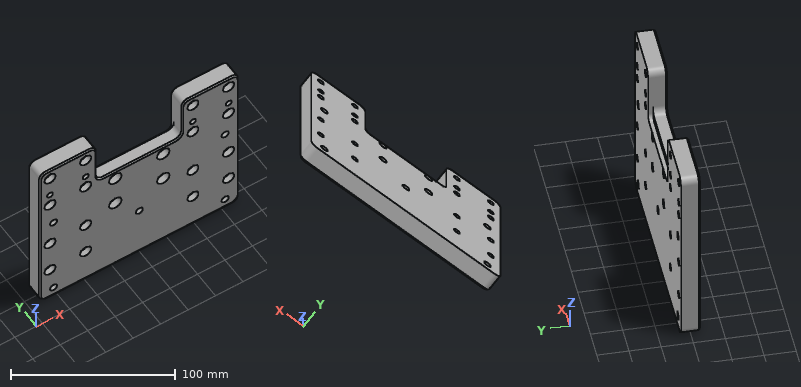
import cadquery as cq

width = 145.0
thickness = 12.0
height = 125.0
corner_radius = 5.1
front_chamfer = 1.0

slot_width = 62.0
slot_depth = 34.0

step_thickness = 3.0
step_drop = 4.0
step_corner_radius = 4.0

mount_diameter = 4.5
mount_bore_diameter = 8.0
mount_bore_depth = 4.5
mount_pitch = 26.0
mount_group_x = 52.0
upper_mount_z = 41.5
lower_mount_z = -22.5

center_diameter = 5.5
center_bore_diameter = 9.0
center_bore_depth = 5.2
center_pitch_x = 35.0
center_pitch_z = 24.0
center_group_z = 9.4

pin_diameter = 4.2
pin_z = 38.4
plain_diameter = 5.1
plain_x = 62.5
plain_upper_z = 9.4
plain_lower_z = -54.5
middle_z = lower_mount_z

front_y = -thickness / 2
back_y = thickness / 2
slot_floor_z = height / 2 - slot_depth


def cylinders(points, diameter, depth):
    """Cylinders that start at the front face and run toward +Y."""
    front_plane = cq.Workplane("XZ", origin=(0, front_y, 0))
    return front_plane.pushPoints(points).circle(diameter / 2).extrude(-depth)


def grid(center_x, center_z, pitch_x, pitch_z):
    """Corners of a rectangle, as (x, z) points."""
    return [
        (center_x + side_x * pitch_x / 2, center_z + side_z * pitch_z / 2)
        for side_x in (-1, 1)
        for side_z in (-1, 1)
    ]


def make_plate():
    """Slotted plate with rounded corners and a chamfered front rim."""
    half_width = width / 2
    half_height = height / 2
    half_slot = slot_width / 2
    outline = [
        (-half_width, -half_height),
        (half_width, -half_height),
        (half_width, half_height),
        (half_slot, half_height),
        (half_slot, slot_floor_z),
        (-half_slot, slot_floor_z),
        (-half_slot, half_height),
        (-half_width, half_height),
    ]
    plate = cq.Workplane("XZ", origin=(0, back_y, 0)).polyline(outline).close().extrude(thickness)
    plate = plate.edges("|Y").fillet(corner_radius)
    return plate.faces("<Y").chamfer(front_chamfer)


def make_step():
    """Cutter that lowers the slot floor along the back face, with rounded lower corners."""
    cutter_height = step_drop + corner_radius
    cutter_bottom_z = slot_floor_z - step_drop
    cutter = cq.Workplane("XY").box(
        slot_width, step_thickness, cutter_height, centered=(True, False, False)
    )
    cutter = cutter.edges("|Y and <Z").fillet(step_corner_radius)
    return cutter.translate((0, back_y - step_thickness, cutter_bottom_z))


mount_points = []
for group_x in (-mount_group_x, mount_group_x):
    for group_z in (upper_mount_z, lower_mount_z):
        mount_points += grid(group_x, group_z, mount_pitch, mount_pitch)

center_points = grid(0, center_group_z, center_pitch_x, center_pitch_z)

pin_points = [
    (side * mount_group_x + offset, pin_z)
    for side in (-1, 1)
    for offset in (-mount_pitch / 2, mount_pitch / 2)
]

plain_points = [(side * plain_x, z) for side in (-1, 1) for z in (plain_upper_z, plain_lower_z)]
plain_points.append((0, middle_z))

result = make_plate().cut(make_step())
for points, diameter, depth in (
    (mount_points, mount_diameter, thickness),
    (mount_points, mount_bore_diameter, mount_bore_depth),
    (center_points, center_diameter, thickness),
    (center_points, center_bore_diameter, center_bore_depth),
    (pin_points, pin_diameter, thickness),
    (plain_points, plain_diameter, thickness),
):
    result = result.cut(cylinders(points, diameter, depth))